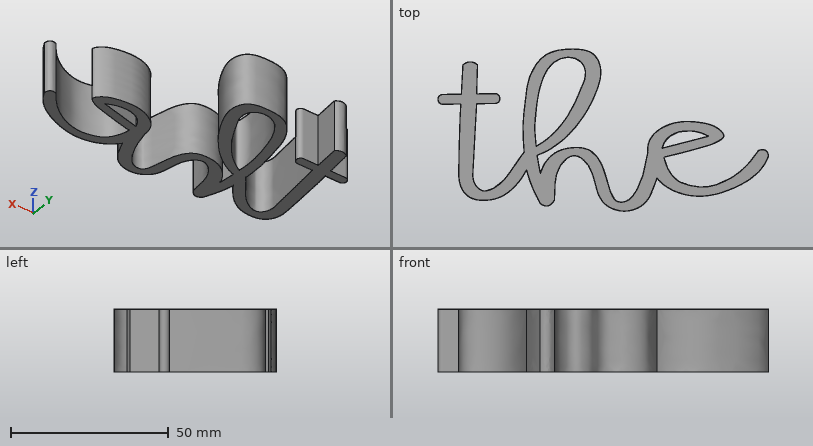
import cadquery as cq

HEIGHT = 20.0

BAR_LENGTH = 19.7
BAR_WIDTH = 3.2
BAR_CENTER = (BAR_LENGTH / 2, 35.6)
BAR_TILT = 0.9


def raised(start, *stretches):
    """Extrude the closed outline that starts at `start`.

    Each stretch is a list of points: a single point is reached by a straight line,
    several points by one smooth curve. Stretches meet in corners.
    """
    outline = cq.Workplane("XY").moveTo(*start)
    for points in stretches:
        if len(points) == 1:
            outline = outline.lineTo(*points[0])
        else:
            outline = outline.spline(points, includeCurrent=True)
    return outline.close().extrude(HEIGHT)


def letter_t():
    stem_top_left = (7.9, 46.4)
    stem = raised(
        stem_top_left,
        [(10.2, 47.4), (12.6, 46.4)],
        [(12.3, 36.0)],
        [
            (11.9, 26.5), (11.2, 14.5), (12.0, 8.2), (14.2, 6.5), (17.7, 7.3), (23.4, 13.1),
            (27.5, 18.9),
        ],
        [(29.1, 20.0), (30.9, 19.4), (31.3, 17.7)],
        [(28.1, 13.0)],
        [
            (24.0, 7.4), (19.9, 4.5), (14.9, 3.4), (9.9, 4.5), (7.1, 8.2), (6.6, 13.9),
            (6.75, 21.8), (7.0, 29.7),
        ],
        [stem_top_left],
    )
    crossbar = (
        cq.Workplane("XY")
        .center(*BAR_CENTER)
        .slot2D(BAR_LENGTH, BAR_WIDTH, BAR_TILT)
        .extrude(HEIGHT)
    )
    return stem.union(crossbar).clean()


def letter_h():
    loop_crossing = (31.5, 17.7)
    body = raised(
        loop_crossing,
        [
            (35.4, 19.5), (39.8, 22.7), (46.8, 31.0), (50.5, 38.5), (51.6, 45.5), (49.6, 49.6),
            (42.4, 51.45), (34.6, 49.8), (29.3, 43.1), (27.7, 35.4), (27.0, 27.8), (27.3, 19.0),
            (28.1, 13.0), (30.2, 6.9), (32.4, 2.5),
        ],
        [(34.5, 1.6), (37.0, 3.5)],
        [
            (37.2, 8.8), (38.9, 14.5), (43.3, 17.6), (47.7, 14.5), (49.9, 8.5), (52.1, 3.2),
            (58.3, 0.0), (65.7, 2.6), (69.5, 10.4), (70.8, 13.9), (71.4, 17.1),
        ],
        [(71.2, 19.2), (69.6, 20.0), (67.6, 19.6), (66.5, 18.4)],
        [
            (66.0, 15.5), (63.2, 7.0), (59.5, 3.1), (56.9, 3.1), (54.7, 6.3), (52.1, 14.5),
            (48.0, 19.4), (43.0, 20.2), (37.3, 18.6), (33.9, 15.2), (32.5, 12.0),
        ],
    )
    loop_corner = (31.2, 20.6)
    loop_hole = raised(
        loop_corner,
        [
            (30.7, 26.5), (31.5, 34.8), (33.4, 42.3), (36.7, 47.1), (41.3, 48.8), (45.5, 47.2),
            (46.8, 44.2), (45.6, 39.2), (41.0, 30.0), (36.8, 24.8), loop_corner,
        ],
    )
    return body.cut(loop_hole)


def letter_e():
    bar_start = (71.7, 17.1)
    body = raised(
        bar_start,
        [
            (77.7, 18.55), (83.7, 20.2), (89.4, 22.4), (90.7, 23.7), (89.2, 26.0), (84.7, 27.9),
            (78.9, 28.5), (70.8, 26.3), (67.1, 22.4), (66.5, 18.4), (69.5, 10.4), (74.9, 6.4), (83.1, 4.7),
            (94.5, 7.6), (101.7, 12.4), (104.9, 17.5),
        ],
        [(104.1, 19.2), (101.7, 19.3)],
        [(98.7, 15.3), (93.1, 10.6), (83.1, 7.7), (79.9, 8.2), (76.5, 9.4), (73.0, 13.4), bar_start],
    )
    eye_left = (71.1, 20.0)
    eye_right = (85.8, 23.8)
    eye = raised(
        eye_left,
        [(73.6, 23.8), (79.6, 25.5), eye_right],
        [eye_left],
    )
    return body.cut(eye)


result = letter_t().union(letter_h(), clean=False).union(letter_e(), clean=False)